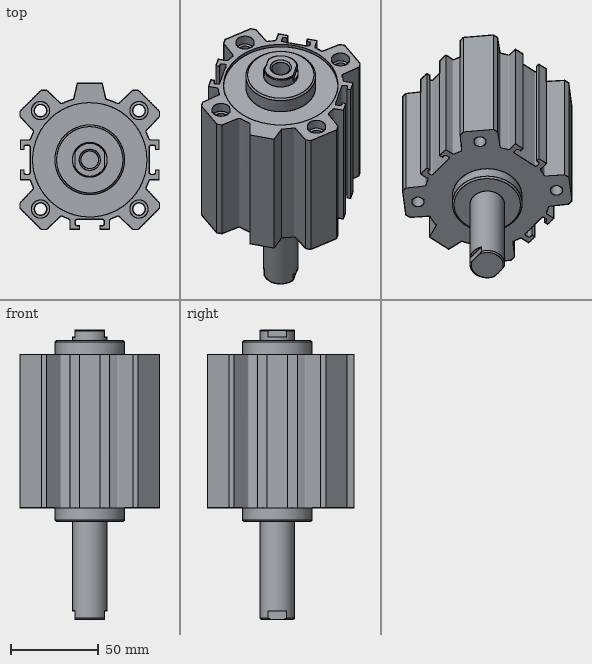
import cadquery as cq
import math

body_length = 88.0
core_radius = 36.0
root_radius = 1.0

arm_reach = 40.0
arm_root_half_width = 11.1
arm_tip_half_width = 10.8
arm_face_half_width = 8.6

rib_reach = 39.8
rib_half_span = 11.5
slot_floor = 34.2
slot_half_width = 8.3
slot_mouth_half_width = 5.8
slot_lip_thickness = 2.2
slot_corner_radius = 1.0

boss_reach = 44.0
boss_tip_half_width = 7.1
boss_root_half_width = 9.3

bolt_offset = 28.2
bolt_hole_diameter = 7.0
bolt_counterbore_diameter = 10.5
bolt_counterbore_depth = 6.3

recess_diameter = 65.5
recess_depth = 2.0

collar_diameter = 40.0
collar_height = 8.0
collar_chamfer = 1.0

rod_diameter = 20.0
rod_length = 166.0
rod_top_projection = 6.0
rod_top_chamfer = 0.5
rod_bottom_chamfer = 0.8
flat_spacing = 17.0
top_flat_length = 4.0
bottom_flat_length = 5.0
rod_hole_diameter = 10.1
rod_hole_depth = 15.0
rod_hole_countersink = 1.0

housing_top = body_length + collar_height
rod_top = housing_top + rod_top_projection
rod_bottom = rod_top - rod_length

ARM_ANGLES = (45, 135, 225, 315)
SLOT_ANGLES = (0, 180, 270)
COUNTERSINK_ANGLE = 90
TOLERANCE = 0.02


def extrude_outline(points):
    """Prism over the full body length with the given outline."""
    return cq.Workplane("XY").polyline(points).close().extrude(body_length)


def turned(shape, angle):
    """The shape turned about the Z axis."""
    return shape.rotate((0, 0, 0), (0, 0, 1), angle)


def corner_arm():
    """One tapered arm pointing along +X, with its two outer corners cut off."""
    root = math.sqrt(core_radius**2 - arm_root_half_width**2)
    tip = arm_reach * math.sqrt(2) - arm_tip_half_width
    face = arm_reach * math.sqrt(2) - arm_face_half_width
    return extrude_outline([
        (0, -arm_root_half_width),
        (root, -arm_root_half_width),
        (tip, -arm_tip_half_width),
        (face, -arm_face_half_width),
        (face, arm_face_half_width),
        (tip, arm_tip_half_width),
        (root, arm_root_half_width),
        (0, arm_root_half_width),
    ])


def rib_block():
    """Solid block on the +X side from which a T-slot leaves two hooked ribs."""
    return (
        cq.Workplane("XY")
        .rect(rib_reach, 2 * rib_half_span)
        .extrude(body_length)
        .translate((rib_reach / 2, 0, 0))
    )


def t_slot():
    """Cutter for the T-slot on the +X side."""
    lip_inside = rib_reach - slot_lip_thickness
    channel = (
        cq.Workplane("XY")
        .rect(lip_inside - slot_floor, 2 * slot_half_width)
        .extrude(body_length)
        .edges("|Z")
        .fillet(slot_corner_radius)
        .translate(((slot_floor + lip_inside) / 2, 0, 0))
    )
    mouth = (
        cq.Workplane("XY")
        .rect(rib_reach - slot_floor, 2 * slot_mouth_half_width)
        .extrude(body_length)
        .translate(((slot_floor + rib_reach) / 2, 0, 0))
    )
    return channel.union(mouth)


def tapered_boss():
    """Boss with slanted flanks on the +Y side, rooted in the core."""
    root = math.sqrt(core_radius**2 - boss_root_half_width**2)
    return extrude_outline([
        (-boss_root_half_width, 0),
        (-boss_root_half_width, root),
        (-boss_tip_half_width, boss_reach),
        (boss_tip_half_width, boss_reach),
        (boss_root_half_width, root),
        (boss_root_half_width, 0),
    ])


def round_roots(profile, distance, angles):
    """Round the upright edges at the given offset to either side of each radial direction."""
    edges = [edge for edge in profile.edges("|Z").vals() if is_root(edge, distance, angles)]
    return profile.newObject(edges).fillet(root_radius)


def is_root(edge, distance, angles):
    """True for an edge on the core surface, at the given offset from one of the directions."""
    spot = edge.Center()
    if abs(math.hypot(spot.x, spot.y) - core_radius) > TOLERANCE:
        return False
    for angle in angles:
        direction = math.radians(angle)
        offset = spot.y * math.cos(direction) - spot.x * math.sin(direction)
        ahead = spot.x * math.cos(direction) + spot.y * math.sin(direction) > 0
        if ahead and abs(abs(offset) - distance) < TOLERANCE:
            return True
    return False


def body_profile():
    """Core, arms, slot ribs and boss, with the T-slots cut and the roots rounded."""
    profile = cq.Workplane("XY").circle(core_radius).extrude(body_length)
    for angle in ARM_ANGLES:
        profile = profile.union(turned(corner_arm(), angle))
    for angle in SLOT_ANGLES:
        profile = profile.union(turned(rib_block(), angle))
    profile = profile.union(tapered_boss())
    profile = round_roots(profile, arm_root_half_width, ARM_ANGLES)
    profile = round_roots(profile, rib_half_span, SLOT_ANGLES)
    for angle in SLOT_ANGLES:
        profile = profile.cut(turned(t_slot(), angle))
    return profile


def collar():
    """Round collar standing on Z = 0, with a chamfered outer end."""
    return (
        cq.Workplane("XY")
        .circle(collar_diameter / 2)
        .extrude(collar_height)
        .faces(">Z")
        .chamfer(collar_chamfer)
    )


def make_housing():
    housing = body_profile()

    recess = (
        cq.Workplane("XY", origin=(0, 0, body_length - recess_depth))
        .circle(recess_diameter / 2)
        .circle(collar_diameter / 2)
        .extrude(recess_depth)
    )
    housing = housing.cut(recess)
    housing = housing.union(collar().translate((0, 0, body_length)))
    housing = housing.union(collar().rotate((0, 0, 0), (1, 0, 0), 180))

    return housing.cut(bolt_holes()).cut(rod_bar())


def bolt_holes():
    """Cutters for the four through holes, counterbored from the top end."""
    centres = [(x, y) for x in (-bolt_offset, bolt_offset) for y in (-bolt_offset, bolt_offset)]
    shafts = cq.Workplane("XY").pushPoints(centres).circle(bolt_hole_diameter / 2).extrude(body_length)
    counterbores = (
        cq.Workplane("XY", origin=(0, 0, body_length - bolt_counterbore_depth))
        .pushPoints(centres)
        .circle(bolt_counterbore_diameter / 2)
        .extrude(bolt_counterbore_depth)
    )
    return shafts.union(counterbores)


def rod_bar():
    """Plain round bar over the full rod length; it also cuts the rod's bore."""
    return cq.Workplane("XY", origin=(0, 0, rod_bottom)).circle(rod_diameter / 2).extrude(rod_length)


def wrench_flats(start, length):
    """Cutters for two flats facing -X and +X."""
    depth = (rod_diameter - flat_spacing) / 2
    centre = (rod_diameter - depth) / 2
    return (
        cq.Workplane("XY", origin=(0, 0, start))
        .pushPoints([(-centre, 0), (centre, 0)])
        .rect(depth, rod_diameter)
        .extrude(length)
    )


def make_rod():
    rod = rod_bar().faces("<Z").chamfer(rod_bottom_chamfer)
    rod = rod.faces(">Z").chamfer(rod_top_chamfer)
    rod = rod.cut(wrench_flats(rod_top - top_flat_length, top_flat_length))
    rod = rod.cut(wrench_flats(rod_bottom, bottom_flat_length))
    countersink_diameter = rod_hole_diameter + 2 * rod_hole_countersink
    return (
        rod.faces(">Z")
        .workplane(origin=(0, 0, rod_top))
        .cskHole(rod_hole_diameter, countersink_diameter, COUNTERSINK_ANGLE, rod_hole_depth)
    )


housing = make_housing()
rod = make_rod()
result = cq.Compound.makeCompound([housing.solids().val(), rod.solids().val()])